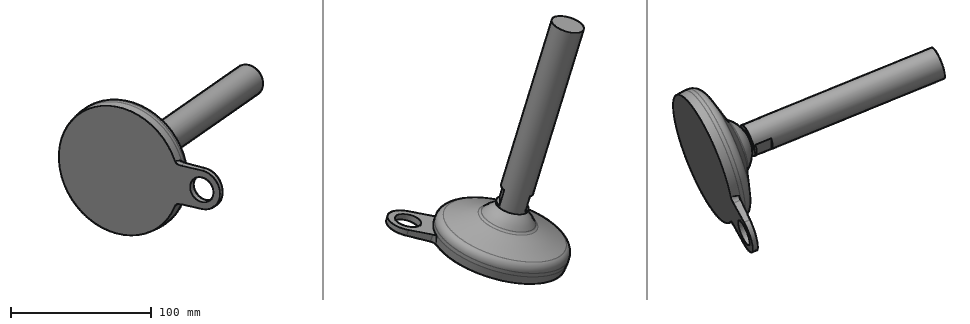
import cadquery as cq
import math

total_length = 185.0

rim_radius = 50.0
sole_radius = 49.2
rim_bottom = 6.6
rim_top = 9.5
shoulder_radius = 7.0
cone_angle = math.radians(20.0)
dome_radius = 24.8
dome_center = 11.5
blend_radius = 4.0

neck_radius = 8.0
stem_bottom = 35.5
stem_radius = 12.0
flat_width = 19.0
flat_bottom = 37.0
flat_top = 49.5

lug_radius = 15.0
lug_center = 68.0
lug_hole_diameter = 19.0
lug_root_fillet = 5.0
lug_root_height = 5.9
lug_tip_height = 4.0


def make_pad():
    """Revolve the pad with its domed top about the Y axis."""
    sin_cone = math.sin(cone_angle)
    cos_cone = math.cos(cone_angle)

    shoulder_center = rim_radius - shoulder_radius

    def shoulder_point(angle):
        return (
            shoulder_center + shoulder_radius * math.cos(angle),
            rim_top + shoulder_radius * math.sin(angle),
        )

    cone_normal = math.pi / 2 - cone_angle
    cone_start = shoulder_point(cone_normal)
    shoulder_middle = shoulder_point(cone_normal / 2)

    cone_offset = cone_start[0] * sin_cone + (cone_start[1] - dome_center) * cos_cone + blend_radius
    center_distance = dome_radius + blend_radius
    center_angle = cone_normal - math.acos(cone_offset / center_distance)
    blend_center = (
        center_distance * math.cos(center_angle),
        dome_center + center_distance * math.sin(center_angle),
    )

    def blend_point(angle):
        return (
            blend_center[0] - blend_radius * math.cos(angle),
            blend_center[1] - blend_radius * math.sin(angle),
        )

    cone_end = blend_point(cone_normal)
    blend_middle = blend_point((cone_normal + center_angle) / 2)
    dome_start = blend_point(center_angle)

    neck_angle = math.acos(neck_radius / dome_radius)

    def dome_point(angle):
        return (
            dome_radius * math.cos(angle),
            dome_center + dome_radius * math.sin(angle),
        )

    dome_middle = dome_point((center_angle + neck_angle) / 2)
    dome_end = dome_point(neck_angle)

    profile = (
        cq.Workplane("XY")
        .lineTo(sole_radius, 0)
        .lineTo(rim_radius, rim_bottom)
        .lineTo(rim_radius, rim_top)
        .threePointArc(shoulder_middle, cone_start)
        .lineTo(*cone_end)
        .threePointArc(blend_middle, dome_start)
        .threePointArc(dome_middle, dome_end)
        .lineTo(neck_radius, stem_bottom)
        .lineTo(0, stem_bottom)
        .close()
    )
    return profile.revolve(360, (0, 0, 0), (0, 1, 0))


def make_stem():
    """Round stem with two opposite wrench flats facing -X and +X."""
    stem = (
        cq.Workplane("XZ", origin=(0, stem_bottom, 0))
        .circle(stem_radius)
        .extrude(-(total_length - stem_bottom))
    )
    flat_length = flat_top - flat_bottom
    flat_middle = (flat_top + flat_bottom) / 2
    for side in (-1, 1):
        cutter = (
            cq.Workplane("XY")
            .box(stem_radius, flat_length, 2 * stem_radius)
            .translate((side * (flat_width + stem_radius) / 2, flat_middle, 0))
        )
        stem = stem.cut(cutter)
    return stem


def make_lug():
    """Round-ended lug, with filleted roots and a top that slopes down to the tip."""
    lug_tip = lug_center + lug_radius

    fillet_z = lug_radius + lug_root_fillet
    fillet_x = math.sqrt((sole_radius + lug_root_fillet) ** 2 - fillet_z**2)
    contact_angle = math.atan2(fillet_z, fillet_x)
    contact_x = sole_radius * math.cos(contact_angle)
    contact_z = sole_radius * math.sin(contact_angle)

    outline = (
        cq.Workplane("XZ")
        .lineTo(contact_x, -contact_z)
        .radiusArc((fillet_x, -lug_radius), lug_root_fillet)
        .lineTo(lug_center, -lug_radius)
        .threePointArc((lug_tip, 0), (lug_center, lug_radius))
        .lineTo(fillet_x, lug_radius)
        .radiusArc((contact_x, contact_z), lug_root_fillet)
        .close()
        .extrude(-rim_bottom)
    )

    slope = (lug_root_height - lug_tip_height) / (lug_tip - rim_radius)
    axis_height = lug_root_height + slope * rim_radius
    side_profile = (
        cq.Workplane("XY")
        .lineTo(lug_tip, 0)
        .lineTo(lug_tip, lug_tip_height)
        .lineTo(0, axis_height)
        .close()
        .extrude(rim_radius, both=True)
    )
    return outline.intersect(side_profile)


def make_lug_hole():
    """Cutter for the through hole at the lug's round end."""
    return (
        cq.Workplane("XZ")
        .center(lug_center, 0)
        .circle(lug_hole_diameter / 2)
        .extrude(-rim_bottom)
    )


result = make_pad().union(make_stem()).union(make_lug()).cut(make_lug_hole())